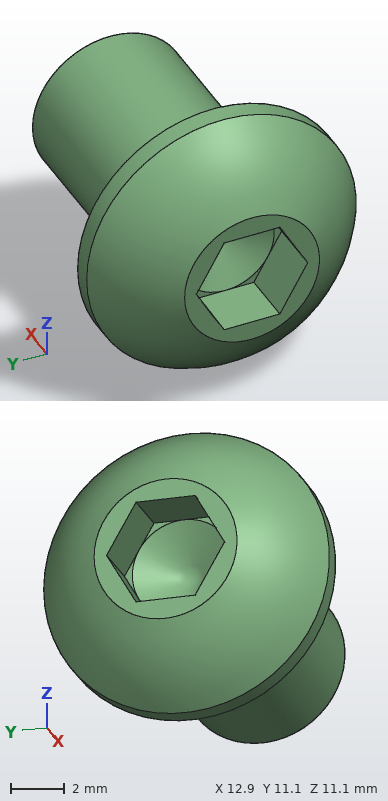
import cadquery as cq
import math

INCH = 25.4
HEX_SIDES = 6
shank_diameter = INCH / 4
shank_length = 9.5
end_chamfer = 0.75
head_diameter = 11.1
head_height = 3.38
rim_thickness = 0.78
face_diameter = head_diameter / 2
socket_width = INCH * 5 / 32
socket_depth = 2.22
socket_cone_angle = 120.0

shank_radius = shank_diameter / 2
head_radius = head_diameter / 2
face_radius = face_diameter / 2
total_length = head_height + shank_length
dome_height = head_height - rim_thickness
socket_radius = socket_width / 2
socket_corner_diameter = socket_width / math.cos(math.pi / HEX_SIDES)
cone_depth = socket_radius / math.tan(math.radians(socket_cone_angle / 2))


def dome_midpoint():
    """Point halfway along the dome arc, whose centre lies on the screw axis."""
    centre_x = (dome_height**2 + head_radius**2 - face_radius**2) / (2 * dome_height)
    dome_radius = math.hypot(centre_x, face_radius)
    face_angle = math.atan2(face_radius, centre_x)
    rim_angle = math.atan2(head_radius, centre_x - dome_height)
    middle_angle = (face_angle + rim_angle) / 2
    return (
        centre_x - dome_radius * math.cos(middle_angle),
        dome_radius * math.sin(middle_angle),
    )


def screw_body():
    """Domed head, cylindrical rim and chamfered shank, revolved about X."""
    return (
        cq.Workplane("XY")
        .moveTo(0, 0)
        .lineTo(0, face_radius)
        .threePointArc(dome_midpoint(), (dome_height, head_radius))
        .lineTo(head_height, head_radius)
        .lineTo(head_height, shank_radius)
        .lineTo(total_length - end_chamfer, shank_radius)
        .lineTo(total_length, shank_radius - end_chamfer)
        .lineTo(total_length, 0)
        .close()
        .revolve(360, (0, 0, 0), (1, 0, 0))
    )


def hex_socket():
    """Hexagonal socket with corners on the Y axis."""
    return cq.Workplane("YZ").polygon(HEX_SIDES, socket_corner_diameter).extrude(socket_depth)


def socket_cone():
    """Conical drill point at the bottom of the socket."""
    return (
        cq.Workplane("XY")
        .moveTo(socket_depth, 0)
        .lineTo(socket_depth, socket_radius)
        .lineTo(socket_depth + cone_depth, 0)
        .close()
        .revolve(360, (0, 0, 0), (1, 0, 0))
    )


result = screw_body().cut(hex_socket()).cut(socket_cone())